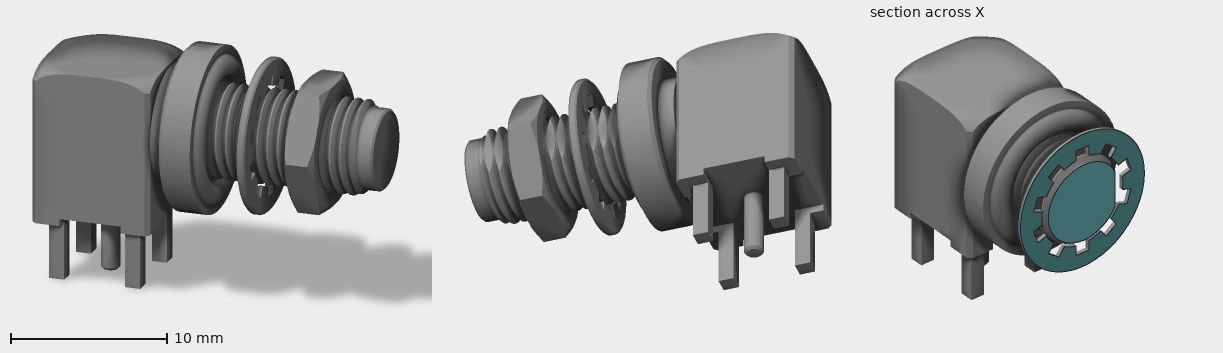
import cadquery as cq
import math


TOTAL_LENGTH = 22.7
TOTAL_HEIGHT = 15.8
FLANGE_DIAMETER = 11.0

BLOCK_WIDTH = 8.0
BLOCK_TOP = 4.09
BLOCK_BOTTOM = -6.33
CORNER_CHAMFER = 0.3
CROWN_RADIUS = 1.82
FOOT_HEIGHT = 0.48

LEG_BOTTOM = FLANGE_DIAMETER / 2 - TOTAL_HEIGHT
LEG_WIDTH = 1.02
LEG_OUTER = 3.09
LEG_INNER = LEG_OUTER - LEG_WIDTH
PIN_DIAMETER = 1.27
PIN_TIP_DIAMETER = 0.93

NECK_DIAMETER = 7.26
COLLAR_DIAMETER = BLOCK_WIDTH
COLLAR_START = 4.09
FLANGE_START = 5.13
FLANGE_END = 7.3
FLANGE_CHAMFER = 0.23
SEAL_OUTER_DIAMETER = 9.99
SEAL_INNER_DIAMETER = 6.58
SEAL_END = 7.83

BARREL_DIAMETER = 5.35
BARREL_END = TOTAL_LENGTH - BLOCK_WIDTH / 2
BARREL_CHAMFER = 0.14
THREAD_DIAMETER = 6.27
THREAD_PITCH = 0.7
THREAD_CREST_WIDTH = 0.1
THREAD_ROOT_WIDTH = 0.1
THREAD_SINK = 0.05
THREAD_CLEARANCE = 0.11
THREAD_START = 7.35
THREAD_END = 17.7
THREAD_CREST_AT_TOP = 8.76
THREAD_FLAT_Y = 2.7

WASHER_DIAMETER = 10.2
WASHER_BORE = 6.58
WASHER_START = 10.3
WASHER_THICKNESS = 0.55
WASHER_CHAMFER = 0.11
SLOT_ROOT_DIAMETER = 8.0
SLOT_WIDTH = 1.02
SLOT_COUNT = 10

NUT_ACROSS_FLATS = 8.15
NUT_START = 13.25
NUT_THICKNESS = 2.0
NUT_FACE_DIAMETER = 8.26
NUT_CHAMFER_LENGTH = 0.27


def rod(diameter, start, end):
    """Cylinder along the X axis from start to end."""
    return cq.Workplane("YZ", origin=(start, 0, 0)).circle(diameter / 2).extrude(end - start)


def make_block():
    """Square block with chamfered upright edges, a rounded crown and four corner feet."""
    height = BLOCK_TOP - BLOCK_BOTTOM
    block = (
        cq.Workplane("XY", origin=(0, 0, BLOCK_BOTTOM))
        .rect(BLOCK_WIDTH, BLOCK_WIDTH)
        .extrude(height)
        .edges("|Z")
        .chamfer(CORNER_CHAMFER)
    )
    crown = (
        cq.Workplane("XY", origin=(0, 0, BLOCK_BOTTOM))
        .circle(BLOCK_WIDTH / 2 + CROWN_RADIUS)
        .extrude(height)
        .faces(">Z")
        .edges()
        .fillet(CROWN_RADIUS)
    )
    block = block.intersect(crown)
    for size in ((BLOCK_WIDTH, 2 * LEG_INNER), (2 * LEG_INNER, BLOCK_WIDTH)):
        channel = cq.Workplane("XY", origin=(0, 0, BLOCK_BOTTOM)).rect(*size).extrude(FOOT_HEIGHT)
        block = block.cut(channel)
    return block


def make_legs():
    """Four square solder legs, one below each corner foot."""
    spacing = LEG_INNER + LEG_OUTER
    return (
        cq.Workplane("XY", origin=(0, 0, LEG_BOTTOM))
        .rect(spacing, spacing, forConstruction=True)
        .vertices()
        .rect(LEG_WIDTH, LEG_WIDTH)
        .extrude(BLOCK_BOTTOM - LEG_BOTTOM)
    )


def make_pin():
    """Contact pin with a chamfered tip."""
    return (
        cq.Workplane("XY", origin=(0, 0, LEG_BOTTOM))
        .circle(PIN_DIAMETER / 2)
        .extrude(BLOCK_BOTTOM + FOOT_HEIGHT - LEG_BOTTOM)
        .faces("<Z")
        .chamfer((PIN_DIAMETER - PIN_TIP_DIAMETER) / 2)
    )


def make_flange():
    """Round flange with its block-side rim chamfered."""
    return rod(FLANGE_DIAMETER, FLANGE_START, FLANGE_END).faces("<X").chamfer(FLANGE_CHAMFER)


def make_seal_bead():
    """Round sealing bead partly sunk into the flange face."""
    section_radius = (SEAL_OUTER_DIAMETER - SEAL_INNER_DIAMETER) / 4
    ring_radius = (SEAL_OUTER_DIAMETER + SEAL_INNER_DIAMETER) / 4
    section = cq.Workplane("XY").moveTo(SEAL_END - section_radius, ring_radius).circle(section_radius)
    return section.revolve(360, (0, 0, 0), (1, 0, 0))


def make_thread():
    """Right-hand helical rib with tapered far end and a flat along its +Y side."""
    root_radius = BARREL_DIAMETER / 2
    crest_radius = THREAD_DIAMETER / 2
    depth = crest_radius - root_radius
    crest_half = THREAD_CREST_WIDTH / 2
    root_half = (THREAD_PITCH - THREAD_ROOT_WIDTH) / 2
    sunk_radius = root_radius - THREAD_SINK
    sunk_half = root_half + (root_half - crest_half) * THREAD_SINK / depth

    lead_turns = math.ceil((THREAD_CREST_AT_TOP - THREAD_START) / THREAD_PITCH) + 1
    first = THREAD_CREST_AT_TOP - lead_turns * THREAD_PITCH
    turns = math.ceil((THREAD_END - first) / THREAD_PITCH) + 1
    helix = cq.Wire.makeHelix(THREAD_PITCH, turns * THREAD_PITCH, root_radius)
    rib = (
        cq.Workplane("XZ")
        .polyline([
            (sunk_radius, -sunk_half),
            (crest_radius, -crest_half),
            (crest_radius, crest_half),
            (sunk_radius, sunk_half),
        ])
        .close()
        .sweep(cq.Workplane(helix), isFrenet=True)
        .rotate((0, 0, 0), (0, 1, 0), 90)
        .rotate((0, 0, 0), (1, 0, 0), 180)
        .translate((first, 0, 0))
    )
    envelope = (
        rod(THREAD_DIAMETER + 2 * THREAD_CLEARANCE, THREAD_START, THREAD_END)
        .faces(">X")
        .chamfer(depth + THREAD_CLEARANCE)
    )
    length = THREAD_END - THREAD_START
    flat_cutter = (
        cq.Workplane("XY")
        .box(length, depth, THREAD_DIAMETER, centered=(False, False, True))
        .translate((THREAD_START, THREAD_FLAT_Y, 0))
    )
    return rib.intersect(envelope).cut(flat_cutter)


def make_housing():
    """Block, legs, pin, collar, flange, sealing bead and threaded barrel as one solid."""
    barrel = rod(BARREL_DIAMETER, 0, BARREL_END).faces(">X").chamfer(BARREL_CHAMFER)
    neck = rod(NECK_DIAMETER, 0, COLLAR_START)
    collar = rod(COLLAR_DIAMETER, COLLAR_START, FLANGE_START)
    return (
        make_block()
        .union(make_legs())
        .union(make_pin())
        .union(neck)
        .union(collar)
        .union(make_flange())
        .union(make_seal_bead())
        .union(barrel)
        .union(make_thread())
    )


def make_washer():
    """Flat ring with radial slots that leave lock teeth around its bore."""
    end = WASHER_START + WASHER_THICKNESS
    washer = rod(WASHER_DIAMETER, WASHER_START, end).faces("<X or >X").chamfer(WASHER_CHAMFER)
    washer = washer.cut(rod(WASHER_BORE, WASHER_START, end))
    slot = (
        cq.Workplane("YZ", origin=(WASHER_START, 0, 0))
        .center(0, SLOT_ROOT_DIAMETER / 4)
        .rect(SLOT_WIDTH, SLOT_ROOT_DIAMETER / 2)
        .extrude(WASHER_THICKNESS)
    )
    for index in range(SLOT_COUNT):
        washer = washer.cut(slot.rotate((0, 0, 0), (1, 0, 0), index * 360 / SLOT_COUNT))
    return washer


def make_nut():
    """Hex nut with both faces chamfered at the corners."""
    corner_diameter = NUT_ACROSS_FLATS / math.cos(math.pi / 6)
    end = NUT_START + NUT_THICKNESS
    nut = cq.Workplane("YZ", origin=(NUT_START, 0, 0)).polygon(6, corner_diameter).extrude(NUT_THICKNESS)
    corner_drop = (corner_diameter - NUT_FACE_DIAMETER) / 2
    chamfered = (
        rod(corner_diameter, NUT_START, end)
        .faces("<X or >X")
        .chamfer(NUT_CHAMFER_LENGTH, corner_drop)
    )
    return nut.intersect(chamfered).cut(rod(THREAD_DIAMETER, NUT_START, end))


housing = make_housing()
washer = make_washer()
nut = make_nut()

result = cq.Compound.makeCompound([housing.val(), washer.val(), nut.val()])